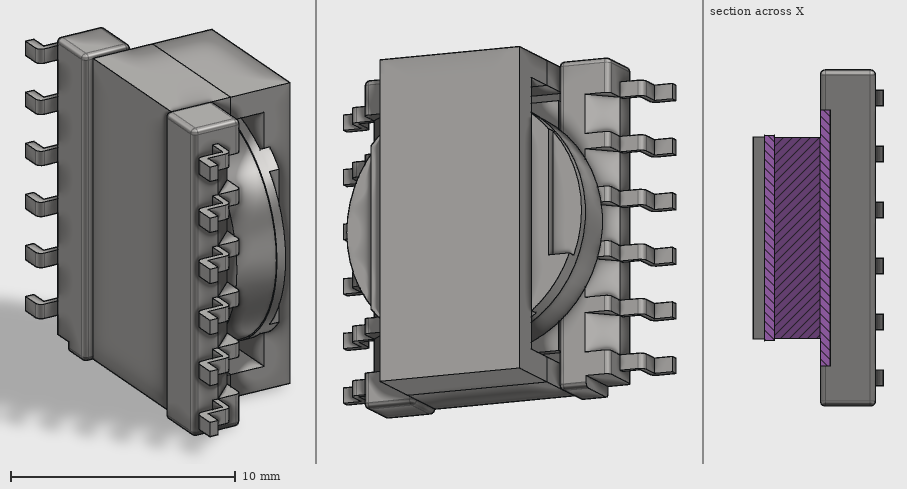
import cadquery as cq
import math


total_height = 6.93
core_width = 6.78
core_length = 14.7
core_half_depth = 3.09
core_window_length = 12.42
core_web = 1.35
core_split_y = total_height - core_half_depth

flange_radius = 5.71
flange_thickness = 0.45
winding_radius = 5.65
winding_depth = 2.05
barrel_radius = 3.2
winding_base_y = core_split_y - winding_depth / 2
winding_top_y = core_split_y + winding_depth / 2
back_flange_top_y = winding_top_y + flange_thickness

tab_height = 0.5
tab_inner_x = 3.5
tab_outer_x = 4.32
tab_extension_top_z = -2.03

rail_inner_x = tab_inner_x
rail_width = 2.48
rail_depth = 2.46
rail_length = 15.0
rail_rounding = 0.24
rail_outer_x = rail_inner_x + rail_width
rail_base_y = winding_base_y - rail_depth

key_width = 1.14
key_length = 0.53

overall_width = 16.0
pin_count = 6
pin_pitch = 2.5
pin_width = 0.7
pin_thickness = 0.29
pin_foot_thickness = 0.43
pin_shoulder_y = 1.63
pin_leg_outer_x = 7.14
pin_tip_x = overall_width / 2
pin_leg_inner_x = pin_leg_outer_x - pin_thickness
pin_positions = [(i - (pin_count - 1) / 2) * pin_pitch for i in range(pin_count)]

channel_depth = winding_base_y - pin_shoulder_y
channel_width = pin_pitch - pin_width


def box(x_range, y_range, z_range):
    """Box spanning the given (low, high) ranges."""
    (x0, x1), (y0, y1), (z0, z1) = x_range, y_range, z_range
    return cq.Workplane("XY").box(x1 - x0, y1 - y0, z1 - z0, centered=False).translate((x0, y0, z0))


def disc(radius, base_y, thickness):
    """Cylinder about the Y axis, starting at base_y and growing toward +Y."""
    return cq.Workplane("XZ", origin=(0, base_y, 0)).circle(radius).extrude(-thickness)


def mirrored_in_x(shape):
    """The same shape on the opposite X side."""
    return shape.mirror("YZ")


def make_back_core():
    """U-shaped core half with its web at the top and its legs on the split plane."""
    half_width = core_width / 2
    half_length = core_length / 2
    half_window = core_window_length / 2
    block = box((-half_width, half_width), (core_split_y, total_height), (-half_length, half_length))
    window = box(
        (-half_width, half_width),
        (core_split_y, total_height - core_web),
        (-half_window, half_window),
    )
    return block.cut(window)


def make_front_core(back_core):
    """The back half turned over about the split plane."""
    return back_core.mirror("XZ", (0, core_split_y, 0))


def make_winding():
    """Ring of wire filling the space between the two flanges."""
    return disc(winding_radius, winding_base_y, winding_depth).cut(
        disc(barrel_radius, winding_base_y, winding_depth)
    )


def make_spool():
    """Barrel with a round back flange and a rectangular front flange that bridges the rails."""
    barrel = disc(barrel_radius, winding_base_y, winding_depth)
    front_flange = box(
        (-rail_inner_x, rail_inner_x),
        (winding_base_y - flange_thickness, winding_base_y),
        (-flange_radius, flange_radius),
    )
    back_flange = disc(flange_radius, winding_top_y, flange_thickness)
    return barrel.union(front_flange).union(back_flange)


def make_tabs():
    """A tab on each side of the back flange; the -X tab reaches the rim along its lower part."""
    tab_y = (back_flange_top_y, back_flange_top_y + tab_height)
    z_range = (-flange_radius, flange_radius)
    plus_x_tab = box((tab_inner_x, tab_outer_x), tab_y, z_range)
    extension = box((-flange_radius, -tab_inner_x), tab_y, (-flange_radius, tab_extension_top_z))
    footprint = plus_x_tab.union(mirrored_in_x(plus_x_tab)).union(extension)
    return footprint.intersect(disc(flange_radius, back_flange_top_y, tab_height))


def make_rail():
    """Rounded +X rail with a sloping wire channel in each gap between pins."""
    rail = box(
        (rail_inner_x, rail_outer_x),
        (rail_base_y, winding_base_y),
        (-rail_length / 2, rail_length / 2),
    ).edges().fillet(rail_rounding)
    for lower_pin_z in pin_positions[:-1]:
        channel = (
            cq.Workplane("XY", origin=(0, 0, lower_pin_z + pin_width / 2))
            .moveTo(rail_outer_x, pin_shoulder_y)
            .lineTo(rail_outer_x, winding_base_y)
            .lineTo(rail_outer_x - channel_depth, winding_base_y)
            .close()
            .extrude(channel_width)
        )
        rail = rail.cut(channel)
    return rail


def make_key_notch():
    """Block removed from the -X rail to mark the first pin."""
    bottom_z = -rail_length / 2
    return box(
        (-rail_outer_x, -rail_outer_x + key_width),
        (rail_base_y, winding_base_y),
        (bottom_z, bottom_z + key_length),
    )


def make_pin(center_z):
    """Gull-wing pin on the +X side, rounded on the outside of both bends."""
    bend = pin_thickness
    arc_mid = bend * (1 - math.sqrt(0.5))
    return (
        cq.Workplane("XY", origin=(0, 0, center_z - pin_width / 2))
        .moveTo(rail_outer_x, pin_shoulder_y)
        .lineTo(pin_leg_outer_x - bend, pin_shoulder_y)
        .threePointArc(
            (pin_leg_outer_x - arc_mid, pin_shoulder_y - arc_mid),
            (pin_leg_outer_x, pin_shoulder_y - bend),
        )
        .lineTo(pin_leg_outer_x, pin_foot_thickness)
        .lineTo(pin_tip_x, pin_foot_thickness)
        .lineTo(pin_tip_x, 0)
        .lineTo(pin_leg_inner_x + bend, 0)
        .threePointArc((pin_leg_inner_x + arc_mid, arc_mid), (pin_leg_inner_x, bend))
        .lineTo(pin_leg_inner_x, pin_shoulder_y - pin_thickness)
        .lineTo(rail_outer_x, pin_shoulder_y - pin_thickness)
        .close()
        .extrude(pin_width)
    )


def make_bobbin():
    """Spool, tabs, rails and moulded-in pins as one solid."""
    side = make_rail()
    for center_z in pin_positions:
        side = side.union(make_pin(center_z))
    keyed_side = mirrored_in_x(side).cut(make_key_notch())
    return make_spool().union(make_tabs()).union(side).union(keyed_side)


back_core = make_back_core()
front_core = make_front_core(back_core)
winding = make_winding()
bobbin = make_bobbin()

result = cq.Compound.makeCompound([back_core.val(), front_core.val(), winding.val(), bobbin.val()])